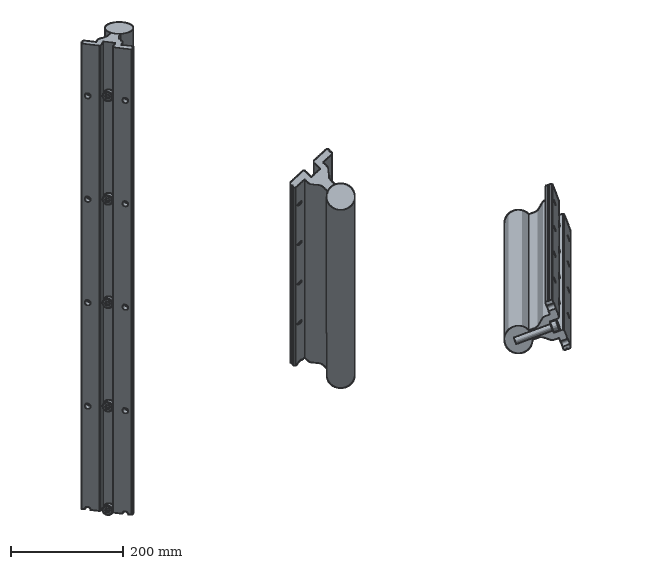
import cadquery as cq

INCH = 25.4

rail_length = 36 * INCH
total_height = 4.25 * INCH
hole_pitch = 8 * INCH
hole_count = 5

shaft_radius = 1 * INCH
shaft_axis_y = total_height - shaft_radius

base_half_width = 3.75 / 2 * INCH
base_thickness = 0.55 * INCH
base_chamfer = 2.0
side_groove_y = 7.5
side_groove_depth = 1.5

shoulder_half_width = 23.2
shoulder_radius = 11.0
neck_half_width = 0.375 * INCH
neck_radius = 14.0
neck_corner_y = 43.0
flank_slope = 1.2
shoulder_corner_y = neck_corner_y - flank_slope * (shoulder_half_width - neck_half_width)

slot_half_width = 0.4375 * INCH
slot_depth = 0.75 * INCH
slot_mouth_chamfer = 2.0

mount_hole_diameter = 0.41 * INCH
mount_hole_offset = 1.375 * INCH

screw_diameter = 0.5 * INCH
screw_length = 2.75 * INCH
head_diameter = 0.75 * INCH
head_height = 0.5 * INCH
head_bottom_y = slot_depth - head_height
head_chamfer = 1.2
socket_across_flats = 0.3125 * INCH
socket_depth = 0.25 * INCH
HEX_CORNER_RATIO = 2 / 3**0.5

hole_levels = [i * hole_pitch for i in range(hole_count)]


def plane_facing_up(x, y, z):
    """Sketch plane at (x, y, z) that extrudes toward +Y."""
    return cq.Plane(origin=(x, y, z), xDir=(1, 0, 0), normal=(0, 1, 0))


def cylinder_along_y(x, y, z, diameter, length):
    """Cylinder starting at (x, y, z) and running toward +Y."""
    return cq.Workplane(plane_facing_up(x, y, z)).circle(diameter / 2).extrude(length)


def full_shaft_cylinder():
    """Shaft without holes, also the cutter for the cradle that seats it."""
    return cq.Workplane("XY").center(0, shaft_axis_y).circle(shaft_radius).extrude(rail_length)


def make_shank(z):
    """Screw shank, also the cutter for the hole that it fills."""
    return cylinder_along_y(0, slot_depth, z, screw_diameter, screw_length)


def make_screw(z):
    head = cylinder_along_y(0, head_bottom_y, z, head_diameter, head_height)
    head = head.faces("<Y or >Y").chamfer(head_chamfer)
    socket = (
        cq.Workplane(plane_facing_up(0, head_bottom_y, z))
        .polygon(6, socket_across_flats * HEX_CORNER_RATIO)
        .extrude(socket_depth)
    )
    return head.union(make_shank(z)).cut(socket)


def make_shaft():
    shaft = full_shaft_cylinder()
    for z in hole_levels:
        shaft = shaft.cut(make_shank(z))
    return shaft


def support_extrusion():
    """Support with its web rounded, before the cradle and holes are cut."""
    neck_corner = (neck_half_width, neck_corner_y)
    shoulder_corner = (shoulder_half_width, shoulder_corner_y)
    right_half = [
        (slot_half_width, slot_depth),
        (slot_half_width, slot_mouth_chamfer),
        (slot_half_width + slot_mouth_chamfer, 0),
        (base_half_width - base_chamfer, 0),
        (base_half_width, base_chamfer),
        (base_half_width, side_groove_y - side_groove_depth),
        (base_half_width - side_groove_depth, side_groove_y),
        (base_half_width, side_groove_y + side_groove_depth),
        (base_half_width, base_thickness - base_chamfer),
        (base_half_width - base_chamfer, base_thickness),
        (shoulder_half_width, base_thickness),
        shoulder_corner,
        neck_corner,
        (neck_half_width, shaft_axis_y),
    ]
    left_half = [(-x, y) for x, y in reversed(right_half)]
    extrusion = cq.Workplane("XY").polyline(right_half + left_half).close().extrude(rail_length)

    for (x, y), radius in ((neck_corner, neck_radius), (shoulder_corner, shoulder_radius)):
        for side in (-1, 1):
            corner_edge = cq.selectors.NearestToPointSelector((side * x, y, rail_length / 2))
            extrusion = extrusion.edges(corner_edge).fillet(radius)
    return extrusion


def make_support():
    support = support_extrusion().cut(full_shaft_cylinder())
    for z in hole_levels:
        support = support.cut(make_shank(z))
        for side in (-1, 1):
            mount_hole = cylinder_along_y(
                side * mount_hole_offset, 0, z, mount_hole_diameter, base_thickness
            )
            support = support.cut(mount_hole)
    return support


support = make_support().solids()
shaft = make_shaft().solids()
screws = [make_screw(z).solids() for z in hole_levels]

result = cq.Compound.makeCompound([support.val(), shaft.val(), *[screw.val() for screw in screws]])